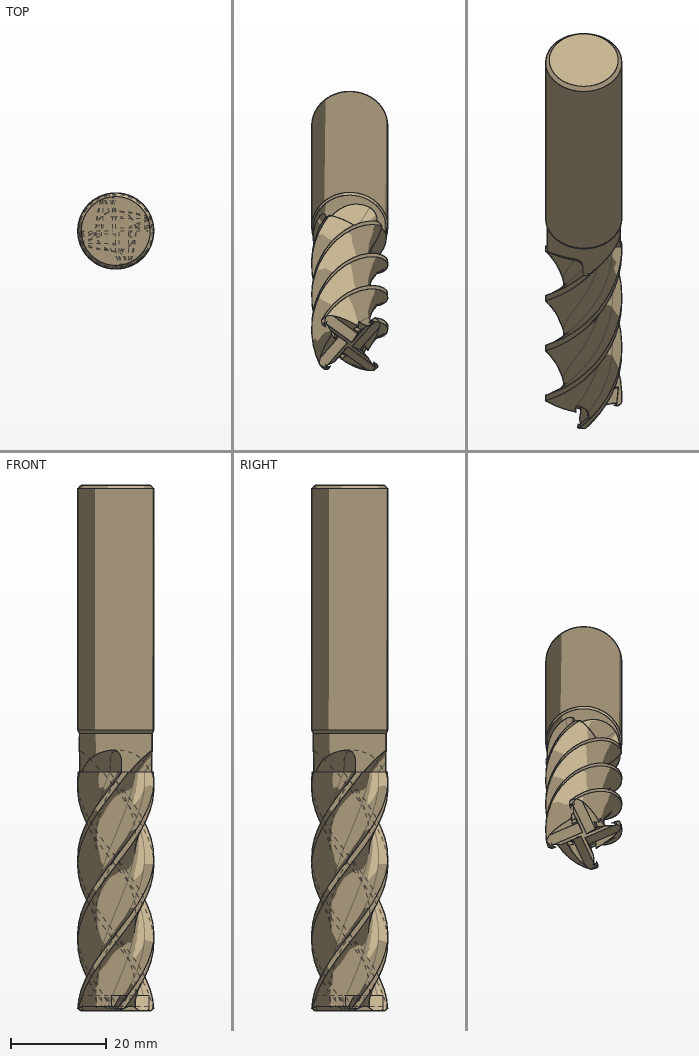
import cadquery as cq
import math

total_length = 110.0
tool_diameter = 16.0
neck_diameter = 15.3
shank_start = 58.1
shank_top_chamfer = 0.8
shank_step_height = 0.7

flute_count = 4
flute_length = 49.9
helix_lead = 64.4
land_angle = 10.0
rake_foot_radius = 6.0
gullet_radius = 4.3
gullet_angle = 27.0
heel_bulge = 0.3
corner_chamfer_width = 0.7
corner_chamfer_height = 0.5

end_land_width = 0.7
end_relief_height = 1.0
end_relief_width = 2.6

gash_height = 3.2
gash_outer_radius = 6.9
gash_length = 4.0
gash_front = 0.2
gash_wall_bottom = 0.8
gash_wall_top = 2.5
gash_skew_angle = 22.0

runout_slope = 1.3

tool_radius = tool_diameter / 2
neck_radius = neck_diameter / 2
shank_step_width = tool_radius - neck_radius
flute_pitch_angle = 360 / flute_count
heel_angle = flute_pitch_angle - land_angle
twist_angle = 360 * flute_length / helix_lead
clear_radius = 2 * tool_radius


def polar(radius, angle):
    """Point in the XY plane at a radius and an angle in degrees."""
    x = radius * math.cos(math.radians(angle))
    y = radius * math.sin(math.radians(angle))
    return (x, y)


def draw_flute(outline, edge_angle):
    """Draw rake and gullet inwards from a cutting edge, then the heel outwards in a slight bulge."""
    heel_start = polar(gullet_radius, edge_angle - gullet_angle)
    heel_end = polar(tool_radius, edge_angle - heel_angle)
    return (
        outline.lineTo(*polar(rake_foot_radius, edge_angle))
        .tangentArcPoint(heel_start, relative=False)
        .sagittaArc(heel_end, heel_bulge)
    )


def end_edge_plane(radius):
    """Plane facing outwards along +X: local X points behind the end edge and local Y points up."""
    return cq.Plane(origin=(radius, 0, 0), xDir=(0, 1, 0), normal=(1, 0, 0))


def make_twisted_body():
    outline = cq.Workplane("XY").moveTo(*polar(tool_radius, 0))
    for index in range(flute_count):
        edge_angle = -index * flute_pitch_angle
        next_edge_angle = edge_angle - flute_pitch_angle
        outline = draw_flute(outline, edge_angle).threePointArc(
            polar(tool_radius, next_edge_angle + land_angle / 2),
            polar(tool_radius, next_edge_angle),
        )
    return outline.close().twistExtrude(flute_length, twist_angle)


def make_corner_chamfer():
    """Ring that bevels the outer corner of the teeth."""
    return (
        cq.Workplane("XZ")
        .moveTo(tool_radius - corner_chamfer_width, 0)
        .lineTo(tool_radius, corner_chamfer_height)
        .lineTo(clear_radius, corner_chamfer_height)
        .lineTo(clear_radius, 0)
        .close()
        .revolve(360, (0, 0, 0), (0, 1, 0))
    )


def make_end_relief():
    return (
        cq.Workplane(end_edge_plane(0))
        .moveTo(end_land_width, 0)
        .lineTo(end_relief_width, end_relief_height)
        .lineTo(clear_radius, end_relief_height)
        .lineTo(clear_radius, 0)
        .close()
        .extrude(clear_radius)
    )


def make_gash():
    """Gash section at its outer end, swept inwards along the skewed direction."""
    gash_section = (
        cq.Workplane(end_edge_plane(gash_outer_radius))
        .moveTo(gash_front, 0)
        .lineTo(gash_wall_bottom, 0)
        .lineTo(gash_wall_top, gash_height)
        .lineTo(gash_front, gash_height)
        .close()
        .val()
    )
    skew_shift = gash_length * math.tan(math.radians(gash_skew_angle))
    return cq.Workplane(cq.Solid.extrudeLinear(gash_section, [], cq.Vector(-gash_length, -skew_shift, 0)))


def make_cutter():
    cutter = make_twisted_body().cut(make_corner_chamfer())
    quadrant = cq.Workplane("XY").rect(clear_radius, clear_radius, centered=False).extrude(gash_height)
    end_relief = make_end_relief().intersect(quadrant)
    gash = make_gash()
    for index in range(flute_count):
        angle = index * flute_pitch_angle
        cutter = cutter.cut(end_relief.rotate((0, 0, 0), (0, 0, 1), angle))
        cutter = cutter.cut(gash.rotate((0, 0, 0), (0, 0, 1), angle))
    return cutter


def make_flute_runout(edge_angle):
    """Flute section swept straight upwards and outwards, so that the flute fades out in the neck."""
    outline = cq.Workplane("XY", origin=(0, 0, flute_length)).moveTo(*polar(tool_radius, edge_angle))
    flute_section = (
        draw_flute(outline, edge_angle)
        .lineTo(*polar(clear_radius, edge_angle - heel_angle))
        .lineTo(*polar(clear_radius, edge_angle))
        .close()
        .val()
    )
    travel = cq.Vector(*polar(tool_radius, edge_angle), tool_radius * runout_slope)
    return cq.Workplane(cq.Solid.extrudeLinear(flute_section, [], travel))


def make_shank():
    grip = (
        cq.Workplane("XY", origin=(0, 0, shank_start))
        .circle(tool_radius)
        .extrude(total_length - shank_start)
        .faces(">Z")
        .chamfer(shank_top_chamfer)
        .faces("<Z")
        .chamfer(shank_step_height, shank_step_width)
    )
    neck = (
        cq.Workplane("XY", origin=(0, 0, flute_length))
        .circle(neck_radius)
        .extrude(shank_start - flute_length)
    )
    shank = grip.union(neck)
    for index in range(flute_count):
        shank = shank.cut(make_flute_runout(twist_angle + index * flute_pitch_angle))
    return shank


cutter = make_cutter()
shank = make_shank()
result = cq.Compound.makeCompound([shank.val(), cutter.val()])